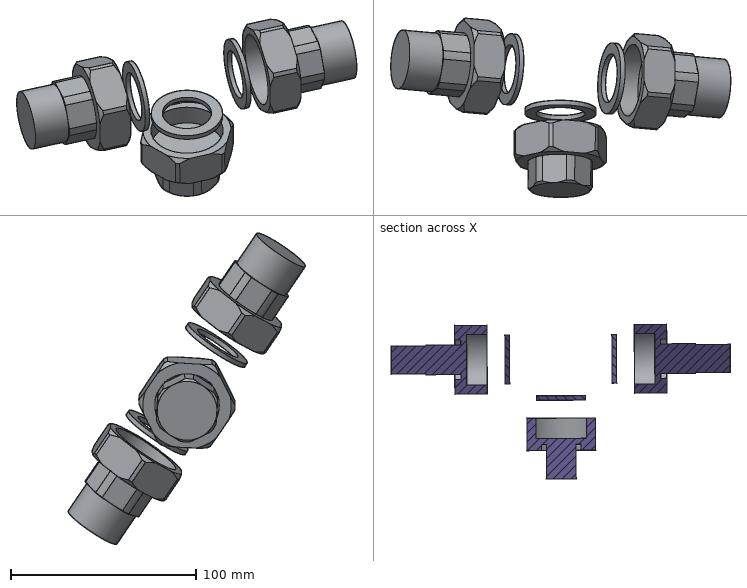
import cadquery as cq
import math

run_length = 183.2
assembly_tilt = 0.3
run_height = 19.3

nut_flats = 46.2
nut_corner_radius = 26.0
nut_length = 17.6
nut_chamfer = 2.2
bore_radius = 19.5
bore_depth = 11.0

collar_flats = 32.3
collar_corner_radius = 17.5
collar_length = 15.4
collar_chamfer = 1.3
socket_depth = 3.3

pipe_radius = 16.0
pipe_length = 18.9

gasket_outer_radius = 19.3
gasket_inner_radius = 13.2
gasket_thickness = 2.5
gasket_gap = 9.5

run_face = run_length / 2 - pipe_length - collar_length - nut_length
branch_face = 12.5


def rounded_hexagon(flats, corner_radius, length, flat_angle):
    """Hexagonal prism along +Z from Z = 0, its corners turned down to corner_radius.

    flat_angle is the angle of one face normal, measured from +X.
    """
    corner_diameter = flats / math.cos(math.radians(30))
    prism = cq.Workplane("XY").polygon(6, corner_diameter).extrude(length)
    prism = prism.rotate((0, 0, 0), (0, 0, 1), flat_angle + 30)
    return prism.intersect(cq.Workplane("XY").circle(corner_radius).extrude(length))


def turned_blank(radius, length, chamfer, ends):
    """Cylinder along +Z with the chosen end edges chamfered."""
    return cq.Workplane("XY").circle(radius).extrude(length).faces(ends).edges().chamfer(chamfer)


def nut_shape():
    """Nut with its mating face at Z = 0, its body along +Z and a collar socket in its back."""
    hexagon = rounded_hexagon(nut_flats, nut_corner_radius, nut_length, 0)
    nut = hexagon.intersect(turned_blank(nut_corner_radius, nut_length, nut_chamfer, "<Z or >Z"))
    bore = cq.Workplane("XY").circle(bore_radius).extrude(bore_depth)
    socket = cq.Workplane("XY").workplane(offset=nut_length).circle(collar_corner_radius)
    return nut.cut(bore).cut(socket.extrude(-socket_depth))


def collar_shape(chamfered):
    """Hexagonal collar rising from the socket floor, a quarter turn from the nut's hexagon."""
    length = socket_depth + collar_length
    collar = rounded_hexagon(collar_flats, collar_corner_radius, length, 90)
    if chamfered:
        collar = collar.intersect(turned_blank(collar_corner_radius, length, collar_chamfer, ">Z"))
    return collar.translate((0, 0, nut_length - socket_depth))


def branch_fitting():
    """Nut and collar; the free end of the collar is chamfered."""
    return nut_shape().union(collar_shape(chamfered=True))


def run_fitting():
    """Nut, collar and pipe stub."""
    pipe = cq.Workplane("XY").workplane(offset=nut_length + collar_length).circle(pipe_radius)
    return nut_shape().union(collar_shape(chamfered=False)).union(pipe.extrude(pipe_length))


def gasket():
    """Flat ring standing clear of the nut face at Z = 0."""
    ring = cq.Workplane("XY").circle(gasket_outer_radius).circle(gasket_inner_radius)
    return ring.extrude(-gasket_thickness).translate((0, 0, -gasket_gap))


def aim_along_y(body, direction):
    """Turn +Z of the body to +Y (direction = 1) or -Y (-1) and place it on the run axis."""
    turned = body.rotate((0, 0, 0), (1, 0, 0), -90 * direction)
    return turned.translate((0, direction * run_face, run_height))


def aim_down(body):
    """Turn +Z of the body to -Z and place it at the branch."""
    return body.rotate((0, 0, 0), (1, 0, 0), 180).translate((0, 0, -branch_face))


bodies = [aim_down(branch_fitting()), aim_down(gasket())]
for direction in (1, -1):
    bodies.append(aim_along_y(run_fitting(), direction))
    bodies.append(aim_along_y(gasket(), direction))

tipped = [body.rotate((0, 0, 0), (1, 0, 0), assembly_tilt) for body in bodies]

result = cq.Compound.makeCompound([body.val() for body in tipped])